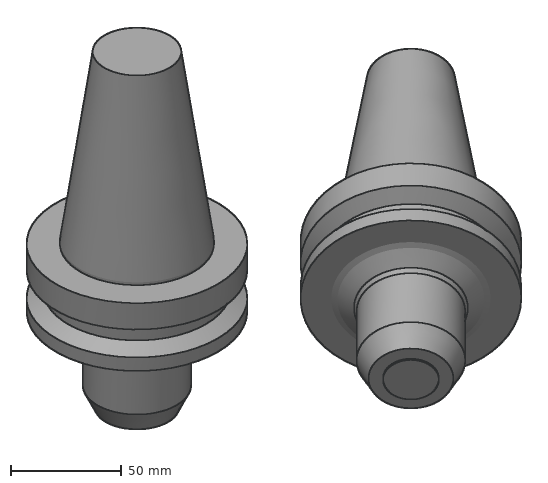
import cadquery as cq
import math

TAPER_LENGTH = 101.8
NOSE_REACH = 90.0

GAUGE_DIAMETER = 69.85
TAPER_RATIO = 7 / 24
small_end_diameter = GAUGE_DIAMETER - TAPER_RATIO * TAPER_LENGTH

FLANGE_DIAMETER = 100.0
FLANGE_TOP = -1.5
FLANGE_BOTTOM = -38.0
GROOVE_DIAMETER = 85.0
GROOVE_CENTRE = -23.2
GROOVE_WIDTH = 15.0
GROOVE_WALL_ANGLE = 30.0

SHANK_DIAMETER = 49.2
NECK_TOP_DIAMETER = 72.2
NECK_UPPER_DIAMETER = 66.6
NECK_UPPER_DROP = 0.9
NECK_LOWER_DIAMETER = 51.6
NECK_LOWER_DROP = 6.1
NECK_HEIGHT = 8.4

NOSE_LENGTH = 11.5
NOSE_END_DIAMETER = 38.4
PAD_DIAMETER = 25.3
PAD_HEIGHT = 0.8

FULL_TURN = 360.0
AXIS_START = (0, 0)
AXIS_END = (0, 1)


def make_taper():
    """Steep taper with a short cylinder joining its gauge plane to the flange."""
    gauge_radius = GAUGE_DIAMETER / 2
    return (
        cq.Workplane("XZ")
        .moveTo(0, FLANGE_TOP)
        .lineTo(gauge_radius, FLANGE_TOP)
        .lineTo(gauge_radius, 0)
        .lineTo(small_end_diameter / 2, TAPER_LENGTH)
        .lineTo(0, TAPER_LENGTH)
        .close()
        .revolve(FULL_TURN, AXIS_START, AXIS_END)
    )


def make_flange():
    """Flange disc with the gripper groove around its rim."""
    outer_radius = FLANGE_DIAMETER / 2
    floor_radius = GROOVE_DIAMETER / 2
    half_mouth = GROOVE_WIDTH / 2
    wall_rise = (outer_radius - floor_radius) * math.tan(math.radians(GROOVE_WALL_ANGLE))
    half_floor = half_mouth - wall_rise
    return (
        cq.Workplane("XZ")
        .moveTo(0, FLANGE_TOP)
        .lineTo(outer_radius, FLANGE_TOP)
        .lineTo(outer_radius, GROOVE_CENTRE + half_mouth)
        .lineTo(floor_radius, GROOVE_CENTRE + half_floor)
        .lineTo(floor_radius, GROOVE_CENTRE - half_floor)
        .lineTo(outer_radius, GROOVE_CENTRE - half_mouth)
        .lineTo(outer_radius, FLANGE_BOTTOM)
        .lineTo(0, FLANGE_BOTTOM)
        .close()
        .revolve(FULL_TURN, AXIS_START, AXIS_END)
    )


def make_shank():
    """Neck, cylindrical shank, conical nose and end pad."""
    shank_radius = SHANK_DIAMETER / 2
    pad_radius = PAD_DIAMETER / 2
    pad_top = PAD_HEIGHT - NOSE_REACH
    return (
        cq.Workplane("XZ")
        .moveTo(0, FLANGE_BOTTOM)
        .lineTo(NECK_TOP_DIAMETER / 2, FLANGE_BOTTOM)
        .lineTo(NECK_UPPER_DIAMETER / 2, FLANGE_BOTTOM - NECK_UPPER_DROP)
        .lineTo(NECK_LOWER_DIAMETER / 2, FLANGE_BOTTOM - NECK_LOWER_DROP)
        .lineTo(shank_radius, FLANGE_BOTTOM - NECK_HEIGHT)
        .lineTo(shank_radius, pad_top + NOSE_LENGTH)
        .lineTo(NOSE_END_DIAMETER / 2, pad_top)
        .lineTo(pad_radius, pad_top)
        .lineTo(pad_radius, -NOSE_REACH)
        .lineTo(0, -NOSE_REACH)
        .close()
        .revolve(FULL_TURN, AXIS_START, AXIS_END)
    )


result = make_taper().union(make_flange()).union(make_shank())